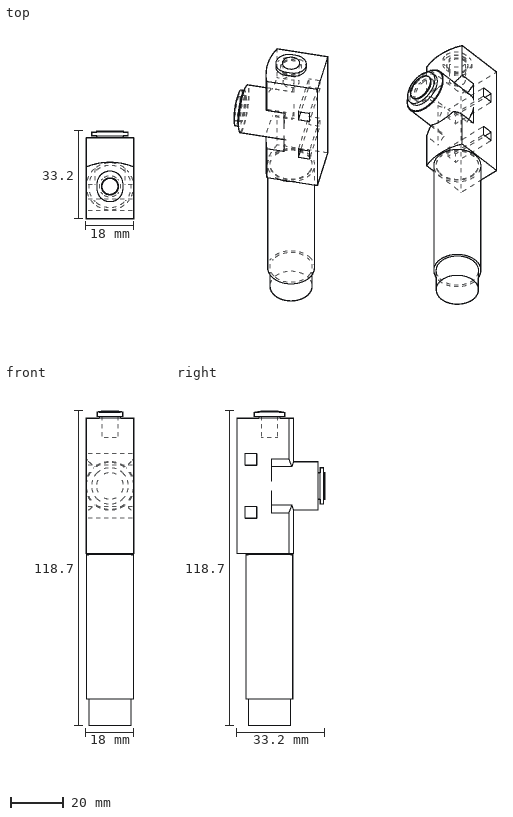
import cadquery as cq
import math


spigot_diameter = 16.0
spigot_length = 10.0
body_diameter = 17.8
body_top = 64.5
neck_diameter = 16.0

block_width = 18.0
block_front = -12.25
block_rear = 9.15
crown_rise = 1.8
block_bottom = 64.9
block_top = 116.1
block_middle = (block_bottom + block_top) / 2

boss_diameter = 18.4
boss_end = 18.4
boss_chamfer_length = 0.3
boss_chamfer_depth = 0.15

notch_floor = 0.8
notch_half_height = 10.2
notch_tip_height = 7.3
notch_wall_bulge = 0.2

cross_hole_size = 4.3
cross_hole_y = -7.0
cross_hole_spacing = 20.0

rear_collar_end = 20.95
rear_stem_diameter = 10.1
rear_flange_diameter = 13.8
rear_flange_start = 19.1
rear_flange_thickness = 1.4

top_collar_end = 118.7
top_stem_diameter = 8.0
top_flange_width = 9.7
top_flange_length = 11.6
top_flange_bottom = 116.7
top_flange_slope = 0.45
top_bore_diameter = 6.0
top_bore_mouth_diameter = 6.5
top_bore_taper_depth = 0.9
top_bore_depth = 10.0


def cylinder_z(diameter, start, end):
    return cq.Workplane("XY", origin=(0, 0, start)).circle(diameter / 2).extrude(end - start)


def cylinder_y(diameter, start, end):
    plane = cq.Workplane("XZ", origin=(0, start, block_middle))
    return plane.circle(diameter / 2).extrude(start - end)


def make_round_body():
    spigot = cylinder_z(spigot_diameter, 0, spigot_length)
    body = cylinder_z(body_diameter, spigot_length, body_top)
    neck = cylinder_z(neck_diameter, body_top, block_bottom)
    return spigot.union(body).union(neck)


def make_block():
    half_width = block_width / 2
    corner_y = block_rear - crown_rise
    return (
        cq.Workplane("XY", origin=(0, 0, block_bottom))
        .moveTo(-half_width, block_front)
        .lineTo(half_width, block_front)
        .lineTo(half_width, corner_y)
        .threePointArc((0, block_rear), (-half_width, corner_y))
        .close()
        .extrude(block_top - block_bottom)
    )


def make_side_notch(side):
    """Cutter beside the boss; its two walls bulge inward and end on the boss surface."""
    face_x = block_width / 2
    tip_x = math.sqrt((boss_diameter / 2) ** 2 - notch_tip_height**2)
    run_x = face_x - tip_x
    run_z = notch_half_height - notch_tip_height
    chord = math.hypot(run_x, run_z)
    middle_x = (face_x + tip_x) / 2 + notch_wall_bulge * run_z / chord
    middle_z = (notch_half_height + notch_tip_height) / 2 - notch_wall_bulge * run_x / chord
    return (
        cq.Workplane("XZ", origin=(0, notch_floor, block_middle))
        .moveTo(side * face_x, notch_half_height)
        .threePointArc((side * middle_x, middle_z), (side * tip_x, notch_tip_height))
        .lineTo(side * tip_x, -notch_tip_height)
        .threePointArc((side * middle_x, -middle_z), (side * face_x, -notch_half_height))
        .close()
        .extrude(notch_floor - block_rear)
    )


def make_boss():
    boss = cylinder_y(boss_diameter, 0, boss_end)
    end_face = boss.faces(">Y")
    boss = end_face.chamfer(boss_chamfer_depth, boss_chamfer_length)
    side_limit = cq.Workplane("XY", origin=(0, 0, block_middle)).box(
        block_width, 2 * boss_end, boss_diameter
    )
    return boss.intersect(side_limit)


def make_cross_holes():
    return (
        cq.Workplane("YZ", origin=(0, cross_hole_y, block_middle))
        .rarray(1, cross_hole_spacing, 1, 2)
        .rect(cross_hole_size, cross_hole_size)
        .extrude(block_width, both=True)
    )


def make_rear_collar():
    stem = cylinder_y(rear_stem_diameter, boss_end, rear_collar_end)
    flange_end = rear_flange_start + rear_flange_thickness
    return stem.union(cylinder_y(rear_flange_diameter, rear_flange_start, flange_end))


def make_top_collar():
    """Obround flange with a shallow conical top, carried on a short round stem."""
    stem = cylinder_z(top_stem_diameter, block_top, top_flange_bottom)
    flange = (
        cq.Workplane("XY", origin=(0, 0, top_flange_bottom))
        .slot2D(top_flange_length, top_flange_width, 90)
        .extrude(top_collar_end - top_flange_bottom)
    )
    mouth_radius = top_bore_mouth_diameter / 2
    rim_radius = top_flange_length / 2
    cone = (
        cq.Workplane("XZ")
        .moveTo(0, top_flange_bottom)
        .lineTo(rim_radius, top_flange_bottom)
        .lineTo(rim_radius, top_collar_end - top_flange_slope)
        .lineTo(mouth_radius, top_collar_end)
        .lineTo(0, top_collar_end)
        .close()
        .revolve()
    )
    return stem.union(flange.intersect(cone))


def make_top_bore():
    bore_radius = top_bore_diameter / 2
    mouth_radius = top_bore_mouth_diameter / 2
    bore_floor = top_collar_end - top_bore_depth
    return (
        cq.Workplane("XZ")
        .moveTo(0, bore_floor)
        .lineTo(bore_radius, bore_floor)
        .lineTo(bore_radius, top_collar_end - top_bore_taper_depth)
        .lineTo(mouth_radius, top_collar_end)
        .lineTo(0, top_collar_end)
        .close()
        .revolve()
    )


block = make_block()
for side in (-1, 1):
    block = block.cut(make_side_notch(side))

result = (
    block.union(make_boss())
    .cut(make_cross_holes())
    .union(make_round_body())
    .union(make_rear_collar())
    .union(make_top_collar())
    .cut(make_top_bore())
)